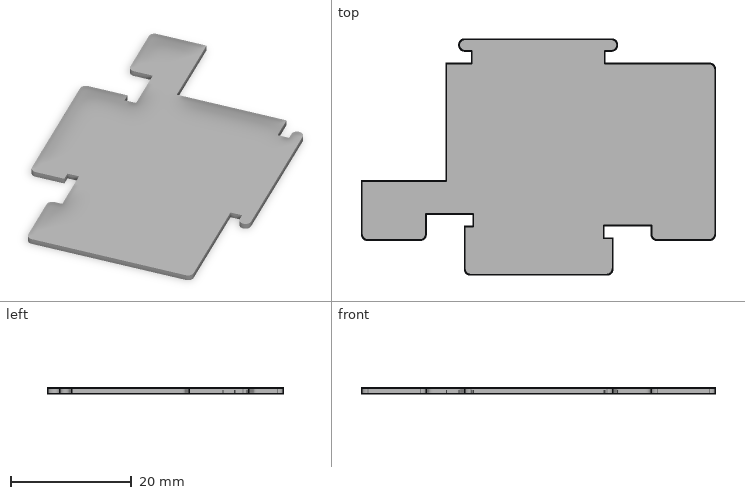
import cadquery as cq

length = 58.5
width = 39.0
thickness = 1.0
corner_radius = 1.0

body_left = 14.0
body_top = 35.0
foot_bottom = 5.75
arm_top = 15.55

bar_left = 16.1
bar_right = 42.3
bar_height = 2 * corner_radius
bar_bottom = width - bar_height
neck_left = 18.2
neck_right = 40.25

tongue_left = 17.0
tongue_right = 41.55
notch_depth = 2.05
left_notch_start = 10.65
left_notch_end = 18.4
left_notch_top = 10.05
right_notch_start = 40.1
right_notch_end = 47.9
right_notch_top = 8.15


def plate(left, right, bottom, top):
    """Rectangular plate between the given edges, resting on Z = 0."""
    return cq.Workplane("XY").box(
        right - left, top - bottom, thickness, centered=False
    ).translate((left, bottom, 0))


def round_corners(solid, corners):
    """Round the upright edges that stand at the given corner points."""
    for x, y in corners:
        solid = solid.edges(cq.selectors.NearestToPointSelector((x, y, thickness / 2))).fillet(corner_radius)
    return solid


def make_bar():
    """Bar with fully rounded ends."""
    bar_length = bar_right - bar_left
    center = ((bar_left + bar_right) / 2, bar_bottom + bar_height / 2)
    return cq.Workplane("XY").center(*center).slot2D(bar_length, bar_height).extrude(thickness)


def make_body():
    """Body, arm and feet with the lower tongue joined between the notches."""
    body = plate(body_left, length, foot_bottom, body_top)
    body = body.union(plate(0, body_left, foot_bottom, arm_top))
    body = body.cut(plate(left_notch_start, left_notch_end, foot_bottom, left_notch_top))
    body = body.cut(plate(right_notch_start, right_notch_end, foot_bottom, right_notch_top))
    body = round_corners(body, [
        (0, foot_bottom),
        (left_notch_start, foot_bottom),
        (right_notch_end, foot_bottom),
        (length, foot_bottom),
        (length, body_top),
    ])

    left_shoulder = left_notch_top - notch_depth
    right_shoulder = right_notch_top - notch_depth
    center_x = (tongue_left + tongue_right) / 2
    tongue = plate(tongue_left, center_x, 0, left_shoulder)
    tongue = tongue.union(plate(center_x, tongue_right, 0, right_shoulder))
    tongue = round_corners(tongue, [(tongue_left, 0), (tongue_right, 0)])
    return body.union(tongue)


neck = plate(neck_left, neck_right, body_top, width - bar_height / 2)
result = make_body().union(neck).union(make_bar()).clean()